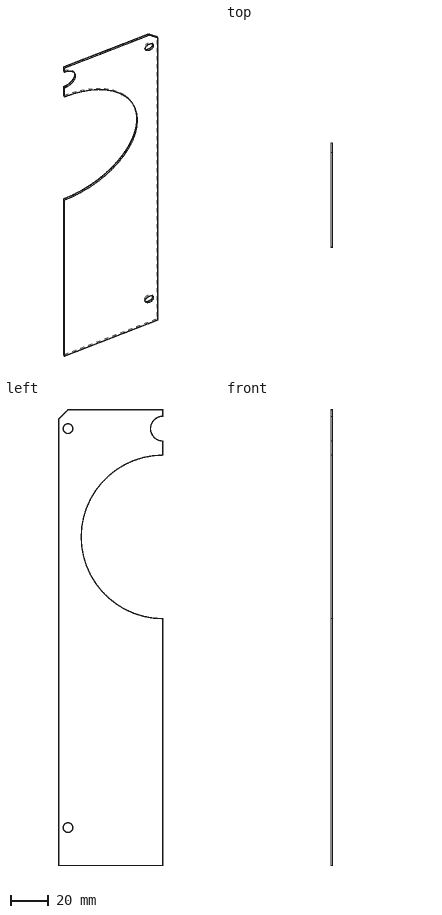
import cadquery as cq

thickness = 1.0
width = 55.0
height = 240.0

corner_chamfer = 5.0

hole_diameter = 5.0
hole_edge_offset = 5.0
lower_hole_z = 20.0
upper_hole_top_offset = 10.0
upper_hole_z = height - upper_hole_top_offset

large_cutout_radius = 43.0
large_cutout_z = 173.0
small_cutout_radius = 6.5
small_cutout_z = upper_hole_z


def make_plate():
    """Rectangular plate with its top outer corner cut off."""
    outline = [
        (0, 0),
        (width, 0),
        (width, height - corner_chamfer),
        (width - corner_chamfer, height),
        (0, height),
    ]
    return cq.Workplane("YZ").polyline(outline).close().extrude(thickness)


def make_through_cylinder(y, z, radius):
    """Cylinder along X that spans the plate thickness."""
    return cq.Workplane("YZ").center(y, z).circle(radius).extrude(thickness)


result = make_plate()

for hole_z in (lower_hole_z, upper_hole_z):
    result = result.cut(make_through_cylinder(width - hole_edge_offset, hole_z, hole_diameter / 2))

result = result.cut(make_through_cylinder(0, large_cutout_z, large_cutout_radius))
result = result.cut(make_through_cylinder(0, small_cutout_z, small_cutout_radius))